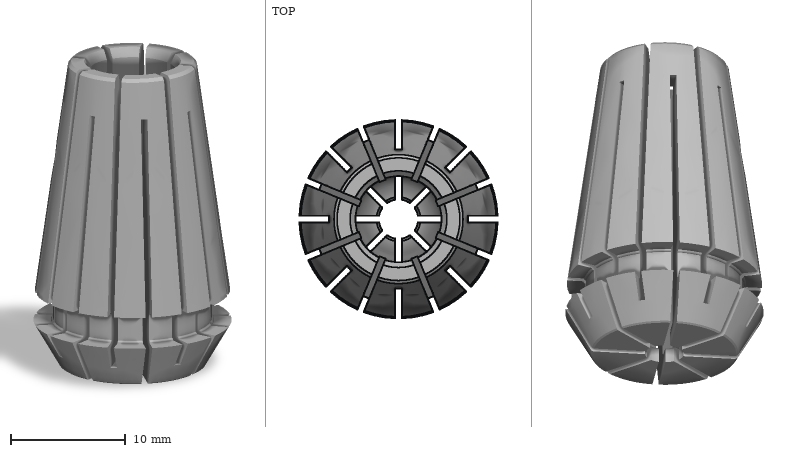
import cadquery as cq
import math

length = 27.5
flange_radius = 8.64
flange_height = 3.95
flange_angle = 30.0
base_chamfer = 0.1

groove_radius = 6.9
groove_width = 2.75
groove_fillet = 0.2

taper_angle = 8.0
taper_base_radius = 8.5
rim_chamfer = 0.28

bore_radius = 3.75
mouth_radius = 4.2
mouth_angle = 30.0
shelf_z = 1.43
shelf_fillet = 0.75
hole_radius = 1.7
hole_chamfer = 0.22

slot_count = 8
slot_width = 0.58
lower_slot_top = 24.0
upper_slot_floor = 1.75

taper_base_z = flange_height + groove_width
flange_slope = math.tan(math.radians(flange_angle))
base_radius = flange_radius - flange_height * flange_slope
taper_slope = math.tan(math.radians(taper_angle))
rim_z = length - rim_chamfer
rim_radius = taper_base_radius - (rim_z - taper_base_z) * taper_slope
mouth_depth = (mouth_radius - bore_radius) / math.tan(math.radians(mouth_angle))


def make_body():
    """Revolve the half section of the sleeve, bore included."""
    section = (
        cq.Workplane("XZ")
        .moveTo(hole_radius, 0)
        .lineTo(base_radius - base_chamfer, 0)
        .lineTo(base_radius + base_chamfer * flange_slope, base_chamfer)
        .lineTo(flange_radius, flange_height)
        .lineTo(groove_radius + groove_fillet, flange_height)
        .radiusArc((groove_radius, flange_height + groove_fillet), -groove_fillet)
        .lineTo(groove_radius, taper_base_z - groove_fillet)
        .radiusArc((groove_radius + groove_fillet, taper_base_z), -groove_fillet)
        .lineTo(taper_base_radius, taper_base_z)
        .lineTo(rim_radius, rim_z)
        .lineTo(rim_radius - rim_chamfer, length)
        .lineTo(mouth_radius, length)
        .lineTo(bore_radius, length - mouth_depth)
        .lineTo(bore_radius, shelf_z + shelf_fillet)
        .radiusArc((bore_radius - shelf_fillet, shelf_z), shelf_fillet)
        .lineTo(hole_radius + hole_chamfer, shelf_z)
        .lineTo(hole_radius, shelf_z - hole_chamfer)
        .close()
    )
    return section.revolve(360, (0, 0, 0), (0, 1, 0))


def make_slots(bottom, top, start_angle):
    """Ring of radial slot cutters between two heights."""
    bar = cq.Workplane("XY").box(
        2 * (flange_radius + slot_width), slot_width, top - bottom, centered=(True, True, False)
    )
    slots = cq.Workplane("XY")
    for i in range(slot_count // 2):
        angle = start_angle + i * 360 / slot_count
        slots = slots.add(bar.rotate((0, 0, 0), (0, 0, 1), angle).translate((0, 0, bottom)))
    return slots.combine()


lower_slots = make_slots(0, lower_slot_top, 0)
upper_slots = make_slots(upper_slot_floor, length, 180 / slot_count)

result = make_body().cut(lower_slots).cut(upper_slots)